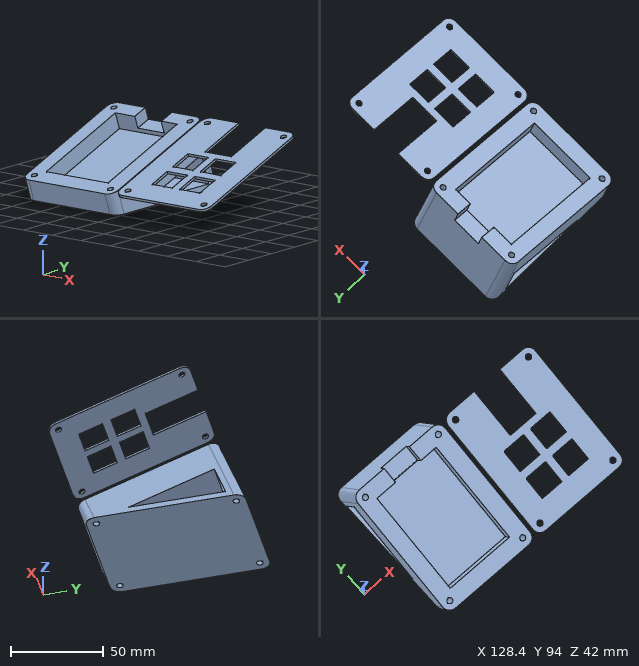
import cadquery as cq
import math

tilt_angle = 20
tilt = math.radians(tilt_angle)

body_width = 63.3
body_length = 83.8
corner_radius = 5.3
body_gap = 1.8

screw_hole_diameter = 3.3

case_front_height = 13.2
case_back_height = case_front_height + body_length * math.tan(tilt)
pocket_width = 42.9
pocket_length = 63.7
pocket_depth = 10.0
pocket_left = 9.8
pocket_front = 10.3
cable_notch_depth = 7.5

window_roof_depth = 18.5
window_back_wall = 8.5
window_sill_height = 3.5

notch_width = 18.2
notch_left = 23.2

plate_thickness = 1.5
plate_rise = 1.0
plate_notch_front = 52.5
key_size = 14.0
key_pitch = 19.1
keys_left = 14.9
keys_front = 14.8
key_rows = 2
key_columns = 2


def box(x, y, z, width, length, height):
    """Box with its lowest corner at x, y, z."""
    return cq.Workplane("XY").box(width, length, height, centered=False).translate((x, y, z))


def rounded_slab(bottom, top):
    """Slab with the shared outline and rounded corners, between two heights."""
    slab = box(0, 0, bottom, body_width, body_length, top - bottom)
    return slab.edges("|Z").fillet(corner_radius)


def screw_holes(bottom, top):
    """Four cylinders at the corner centres."""
    hole_span_x = body_width - 2 * corner_radius
    hole_span_y = body_length - 2 * corner_radius
    return (
        cq.Workplane("XY", origin=(body_width / 2, body_length / 2, bottom))
        .rect(hole_span_x, hole_span_y, forConstruction=True)
        .vertices()
        .circle(screw_hole_diameter / 2)
        .extrude(top - bottom)
    )


def side_prism(points):
    """Prism across the full width with the given (y, z) outline."""
    return cq.Workplane("YZ").polyline(points).close().extrude(body_width)


def below_base():
    """Wedge of the slab that lies under the base of the case."""
    return side_prism(
        [(0, -case_front_height), (body_length, -case_back_height), (0, -case_back_height)]
    )


def side_window():
    """Triangular opening whose sill is level once the case is tilted."""
    back = body_length - window_back_wall
    sill_at_front = -case_front_height + window_sill_height / math.cos(tilt)
    sill_at_back = sill_at_front - back * math.tan(tilt)
    tip = (window_roof_depth + sill_at_front) / math.tan(tilt)
    return side_prism(
        [(tip, -window_roof_depth), (back, -window_roof_depth), (back, sill_at_back)]
    )


def make_case():
    pocket = box(pocket_left, pocket_front, -pocket_depth, pocket_width, pocket_length, pocket_depth)
    pocket_back = pocket_front + pocket_length
    cable_notch = box(
        notch_left, pocket_back, -cable_notch_depth,
        notch_width, body_length - pocket_back, cable_notch_depth,
    )
    return (
        rounded_slab(-case_back_height, 0)
        .cut(below_base())
        .cut(side_window())
        .cut(pocket)
        .cut(cable_notch)
        .cut(screw_holes(-case_back_height, 0))
    )


def make_plate():
    bottom = plate_rise - plate_thickness
    plate = rounded_slab(bottom, plate_rise).cut(screw_holes(bottom, plate_rise))
    notch_length = body_length - plate_notch_front
    plate = plate.cut(
        box(notch_left, plate_notch_front, bottom, notch_width, notch_length, plate_thickness)
    )
    for row in range(key_rows):
        for column in range(key_columns):
            key_x = keys_left + column * key_pitch
            key_y = keys_front + row * key_pitch
            plate = plate.cut(box(key_x, key_y, bottom, key_size, key_size, plate_thickness))
    return plate.translate((body_width + body_gap, 0, 0))


def tilted(body):
    return body.rotate((0, 0, 0), (1, 0, 0), tilt_angle)


case = tilted(make_case())
plate = tilted(make_plate())

result = cq.Compound.makeCompound([case.val(), plate.val()])